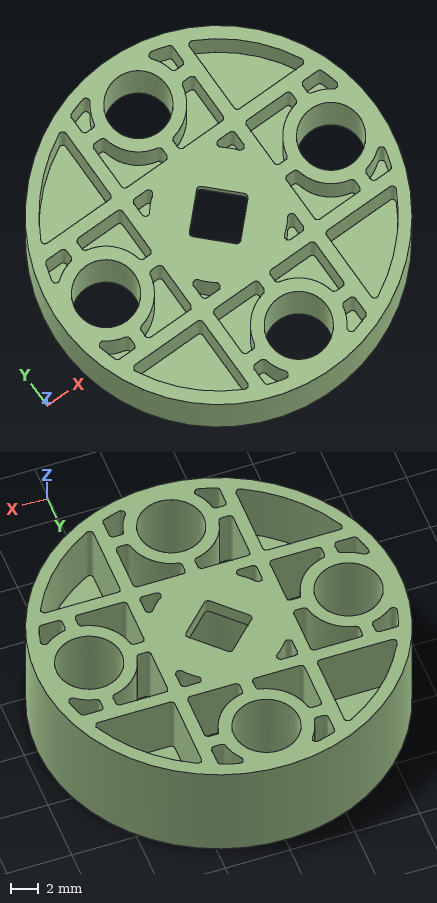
import cadquery as cq

wheel_radius = 14.0
wheel_height = 8.4
rim_thickness = 1.0
rib_thickness = 1.0
rib_offset = 5.0
pin_hole_spacing = 10.0
pin_hole_radius = 2.5
pin_wall = 1.0
hub_radius = 5.0
hub_wall = 1.0
square_side = 3.75
square_depth = 1.2
bore_radius = hub_radius - hub_wall
pocket_depth = 5.0
corner_radius = 0.3

floor_height = wheel_height - pocket_depth
quarter_turns = [0, 90, 180, 270]
square_turn = 45


def cylinder(radius, bottom, height):
    """Upright cylinder on the wheel axis."""
    return cq.Workplane("XY").workplane(offset=bottom).circle(radius).extrude(height)


def floor_plane():
    """Work plane at the pocket floor."""
    return cq.Workplane("XY").workplane(offset=floor_height)


def pin_positions(sketch):
    """Places the four pin hole axes, evenly spaced around the wheel."""
    return sketch.polarArray(pin_hole_spacing, 0, 360, len(quarter_turns))


def hub_and_straight_ribs():
    """Hub, two pairs of crossing ribs, and one rib across the middle each way."""
    ribs = cylinder(hub_radius, floor_height, pocket_depth)
    length = 2 * wheel_radius
    for offset in (-rib_offset, 0, rib_offset):
        rib_along_x = floor_plane().center(0, offset).rect(length, rib_thickness).extrude(pocket_depth)
        rib_along_y = floor_plane().center(offset, 0).rect(rib_thickness, length).extrude(pocket_depth)
        ribs = ribs.union(rib_along_x).union(rib_along_y)
    return ribs


def short_ribs():
    """Ribs through each pin hole axis, reaching from one straight rib to the other."""
    span = 2 * rib_offset
    ribs = cq.Workplane("XY")
    for angle in quarter_turns:
        rib = floor_plane().center(pin_hole_spacing, 0).rect(rib_thickness, span).extrude(pocket_depth)
        ribs = ribs.add(rib.rotate((0, 0, 0), (0, 0, 1), angle))
    return ribs.combine()


def pockets():
    """All the spaces between rim, ribs, hub and pin walls, with rounded corners."""
    space = cylinder(wheel_radius - rim_thickness, floor_height, pocket_depth)
    space = space.cut(hub_and_straight_ribs()).cut(short_ribs())
    pin_walls = pin_positions(floor_plane()).circle(pin_hole_radius + pin_wall).extrude(pocket_depth)
    space = space.cut(pin_walls)
    return space.edges("|Z").fillet(corner_radius)


def pin_holes():
    """Four round holes through the full height."""
    return pin_positions(cq.Workplane("XY")).circle(pin_hole_radius).extrude(wheel_height)


def drive_hole():
    """Round bore from below, narrowed at the top to a square with rounded corners."""
    square_bottom = wheel_height - square_depth
    square = cq.Workplane("XY").workplane(offset=square_bottom).rect(square_side, square_side)
    square = square.extrude(square_depth).edges("|Z").fillet(corner_radius)
    square = square.rotate((0, 0, 0), (0, 0, 1), square_turn)
    return cylinder(bore_radius, 0, square_bottom).union(square)


wheel = cylinder(wheel_radius, 0, wheel_height)
result = wheel.cut(pockets()).cut(pin_holes()).cut(drive_hole())